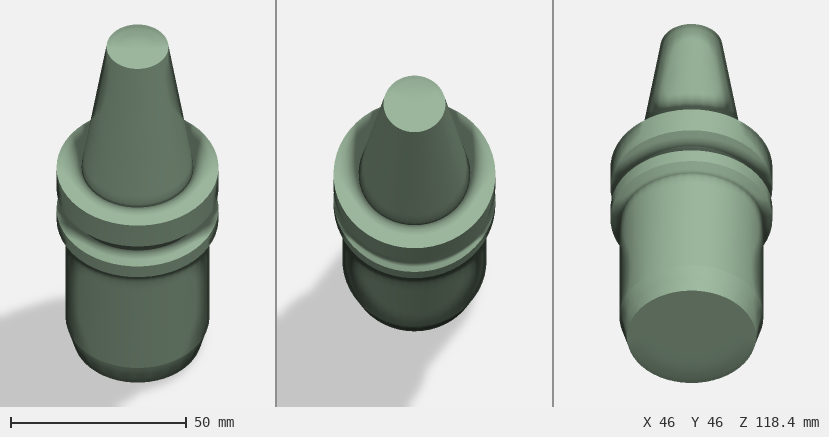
import cadquery as cq

total_height = 118.4
nose_taper_top = 8.2
body_top = 45.5
lower_flange_bottom = 48.0
lower_flange_top = 52.3
groove_bottom = 54.7
groove_top = 58.1
upper_flange_bottom = 60.5
flange_face = 69.0
gauge_line = 70.0

nose_diameter = 36.7
body_diameter = 41.0
flange_diameter = 46.0
groove_diameter = 38.0
gauge_diameter = 31.7

taper_ratio = 7 / 24
shank_end_diameter = gauge_diameter - taper_ratio * (total_height - gauge_line)

half_section = [
    (nose_diameter, 0),
    (body_diameter, nose_taper_top),
    (body_diameter, body_top),
    (flange_diameter, lower_flange_bottom),
    (flange_diameter, lower_flange_top),
    (groove_diameter, groove_bottom),
    (groove_diameter, groove_top),
    (flange_diameter, upper_flange_bottom),
    (flange_diameter, flange_face),
    (gauge_diameter, flange_face),
    (gauge_diameter, gauge_line),
    (shank_end_diameter, total_height),
]

profile = cq.Workplane("XZ").moveTo(0, 0)
for diameter, level in half_section:
    profile = profile.lineTo(diameter / 2, level)
profile = profile.lineTo(0, total_height).close()

result = profile.revolve(360, (0, 0, 0), (0, 1, 0))